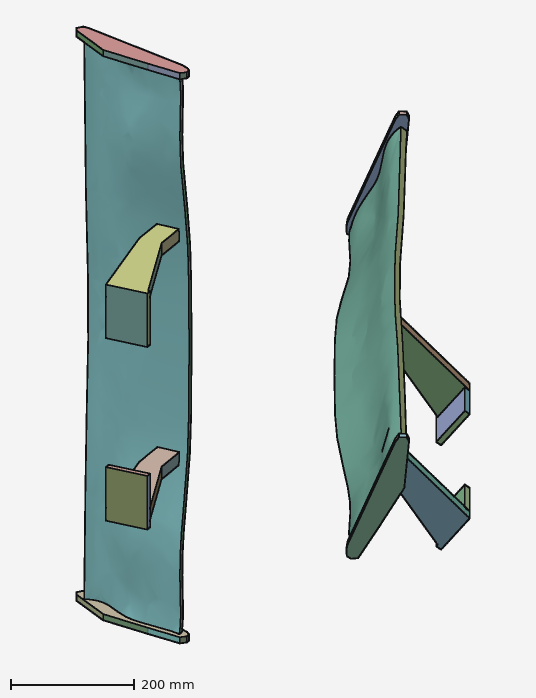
import cadquery as cq

span = 1021.0
half_span = span / 2

plate_thickness = 11.0
plate_outline = [
    (7.0, 0.0), (18.0, -1.0), (220.0, -60.0), (231.0, -66.0), (238.0, -73.0), (238.0, -82.0),
    (230.0, -90.0), (166.0, -81.0), (78.0, -66.0), (4.0, -18.0), (0.0, -10.0),
]

upper_x = [23.0, 65.0, 127.0, 163.0, 224.0]
lower_x = [23.0, 65.0, 92.0, 127.0, 160.0, 224.0]

wing_sections = [
    ([-4.0, -9.0, -28.0, -33.0, -36.0], [-14.0, -22.0, -38.0, -43.0, -44.0, -45.0]),
    ([-5.0, -11.0, -29.0, -34.0, -37.0], [-16.0, -23.0, -39.0, -44.0, -45.0, -46.0]),
    ([-10.0, -15.0, -33.0, -38.0, -43.0], [-21.0, -27.0, -40.0, -47.0, -49.0, -52.0]),
    ([-13.0, -17.0, -43.0, -49.0, -60.0], [-25.0, -29.0, -45.0, -60.0, -62.0, -69.0]),
    ([-15.0, -18.0, -47.0, -53.0, -68.0], [-27.0, -30.0, -46.0, -63.0, -68.0, -78.0]),
    ([-16.0, -18.0, -49.0, -55.0, -73.0], [-29.0, -30.0, -47.0, -65.0, -70.0, -82.0]),
]
section_spacing = (half_span - plate_thickness / 2) / (len(wing_sections) - 1)

bracket_outer_z = 211.0
arm_thickness = 22.0
arm_front_x = 167.0
arm_rear_x = 208.0
arm_hidden_y = -45.0
kink_y = -113.0
foot_front_x = 201.0
foot_rear_x = 277.0
foot_bottom_y = -298.0
foot_thickness = 10.0
foot_length = 96.0


def wing_profile(index):
    """Closed wire of one wing section; negative indices lie below mid-span."""
    upper_y, lower_y = wing_sections[abs(index)]
    z = index * section_spacing
    upper = [cq.Vector(x, y, z) for x, y in zip(upper_x, upper_y)]
    lower = [cq.Vector(x, y, z) for x, y in zip(lower_x, lower_y)]
    return cq.Wire.assembleEdges([
        cq.Edge.makeSpline(upper),
        cq.Edge.makeLine(upper[-1], lower[-1]),
        cq.Edge.makeSpline(lower[::-1]),
        cq.Edge.makeLine(lower[0], upper[0]),
    ])


def make_wing():
    """Twisted blade, mirrored about mid-span, with an end plate on each tip."""
    last = len(wing_sections) - 1
    profiles = [wing_profile(index) for index in range(-last, last + 1)]
    blade = cq.Workplane(cq.Solid.makeLoft(profiles))
    for plate_base in (-half_span, half_span - plate_thickness):
        plate = cq.Workplane("XY", origin=(0, 0, plate_base)).polyline(plate_outline).close()
        blade = blade.union(plate.extrude(plate_thickness))
    return blade


def make_bracket(side, wing):
    """L-shaped bracket whose tapered arm ends on the wing's underside."""
    arm = (
        cq.Workplane("XY", origin=(0, 0, side * bracket_outer_z))
        .polyline([
            (arm_front_x, arm_hidden_y),
            (arm_rear_x, arm_hidden_y),
            (arm_rear_x, kink_y),
            (foot_rear_x, foot_bottom_y),
            (foot_front_x, foot_bottom_y),
            (arm_front_x, kink_y),
        ])
        .close()
        .extrude(-side * arm_thickness)
    )
    foot = (
        cq.Workplane("XY", origin=(0, 0, side * bracket_outer_z))
        .moveTo(foot_front_x, foot_bottom_y)
        .lineTo(foot_rear_x, foot_bottom_y)
        .lineTo(foot_rear_x, foot_bottom_y + foot_thickness)
        .lineTo(foot_front_x, foot_bottom_y + foot_thickness)
        .close()
        .extrude(-side * foot_length)
    )
    return arm.union(foot).cut(wing)


wing = make_wing()
brackets = [make_bracket(side, wing) for side in (-1, 1)]

result = cq.Compound.makeCompound([wing.val(), *[bracket.val() for bracket in brackets]])